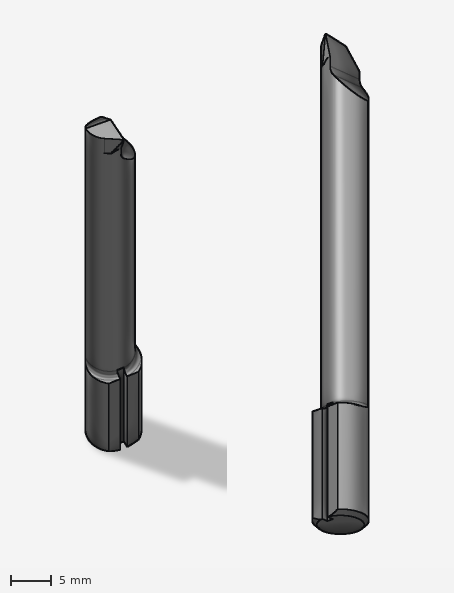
import cadquery as cq
import math

total_length = 65.0

shank_radius = 3.5
shank_length = 14.9
flat_x = 2.85
end_chamfer = 0.6
groove_half_width = 0.45
groove_floor_x = 1.95

neck_radius = 3.2
neck_axis_x = -1.2
neck_fillet = 0.8

face_y = 0.05
slope_angle = 50.0
slope_corner_z = 60.2
slope_fillet = 1.95

tip_x = 2.7
tip_land_height = 0.5
flare_base_x = 1.8
flare_base_z = 61.55
tip_land_depth = 0.2
back_bevel_z = 61.95
top_slope_x = 0.13
top_slope_y = 0.1
margin = 6.5


def make_round_bar():
    """Full-length cylinder with the lower end chamfered."""
    bar = cq.Workplane("XY").circle(shank_radius).extrude(total_length)
    return bar.faces("<Z").chamfer(end_chamfer)


def make_neck_envelope():
    """Eccentric neck that flares by a fillet into an oversized shank body."""
    outer = shank_radius + margin
    fillet_top = shank_length + neck_fillet
    diagonal = neck_fillet * math.sqrt(0.5)
    fillet_middle = (neck_radius + neck_fillet - diagonal, fillet_top - diagonal)
    profile = (
        cq.Workplane("XZ")
        .lineTo(outer, 0)
        .lineTo(outer, shank_length)
        .lineTo(neck_radius + neck_fillet, shank_length)
        .threePointArc(fillet_middle, (neck_radius, fillet_top))
        .lineTo(neck_radius, total_length)
        .lineTo(0, total_length)
        .close()
    )
    envelope = profile.revolve(360, (0, 0, 0), (0, 1, 0)).rotate((0, 0, 0), (0, 0, 1), 180)
    return envelope.translate((neck_axis_x, 0, 0))


def cut_shank_flat(body):
    """Clamping flat and the coolant groove that runs along it."""
    flat = cq.Workplane("XY").box(margin, 4 * margin, shank_length + margin, centered=(False, True, False))
    groove = cq.Workplane("XY").box(
        margin, 2 * groove_half_width, shank_length + neck_fillet, centered=(False, True, False)
    )
    return body.cut(flat.translate((flat_x, 0, 0))).cut(groove.translate((groove_floor_x, 0, 0)))


def make_tip_flare():
    """Wedge that carries the cutting point out beyond the neck, tangent to it in plan."""
    land_y = face_y - tip_land_depth
    tip_reach = tip_x - neck_axis_x
    tip_distance = math.hypot(tip_reach, land_y)
    tangent_angle = math.atan2(land_y, tip_reach) - math.acos(neck_radius / tip_distance)
    tangent_x = neck_axis_x + neck_radius * math.cos(tangent_angle)
    tangent_y = neck_radius * math.sin(tangent_angle)
    side = (
        cq.Workplane("XZ", origin=(0, face_y, 0))
        .polyline([
            (0, flare_base_z),
            (flare_base_x, flare_base_z),
            (tip_x, total_length - tip_land_height),
            (tip_x, total_length),
            (0, total_length),
        ])
        .close()
        .extrude(neck_radius)
    )
    plan = (
        cq.Workplane("XY")
        .polyline([
            (0, face_y),
            (tip_x, face_y),
            (tip_x, land_y),
            (tangent_x, tangent_y),
            (0, tangent_y),
        ])
        .close()
        .extrude(total_length)
    )
    return side.intersect(plan)


def make_half_cut():
    """Removed region behind the cutting face, with a filleted sloping floor."""
    outer_y = shank_radius + margin
    outer_z = slope_corner_z - (outer_y - face_y) * math.tan(math.radians(slope_angle))
    top_z = total_length + margin
    region = (
        cq.Workplane("YZ", origin=(-margin, 0, 0))
        .polyline([(face_y, slope_corner_z), (face_y, top_z), (outer_y, top_z), (outer_y, outer_z)])
        .close()
        .extrude(2 * margin)
    )
    corner = cq.selectors.NearestToPointSelector((0, face_y, slope_corner_z))
    return region.edges(corner).fillet(slope_fillet)


def make_back_bevel():
    """Region above the 45 degree bevel on the -X side."""
    low = (-shank_radius - margin, back_bevel_z - margin)
    high = (margin, back_bevel_z + shank_radius + margin)
    return (
        cq.Workplane("XZ")
        .polyline([low, high, (low[0], high[1])])
        .close()
        .extrude(margin, both=True)
    )


def make_top_cut():
    """Region above the inclined top face, which passes through the cutting point."""
    plane = cq.Plane(
        origin=(tip_x, face_y, total_length),
        xDir=(1, 0, top_slope_x),
        normal=(-top_slope_x, -top_slope_y, 1),
    )
    return cq.Workplane(plane).rect(4 * margin, 4 * margin).extrude(margin)


bar = cut_shank_flat(make_round_bar().intersect(make_neck_envelope()))
bar = bar.cut(make_half_cut()).union(make_tip_flare())
result = bar.cut(make_back_bevel()).cut(make_top_cut())